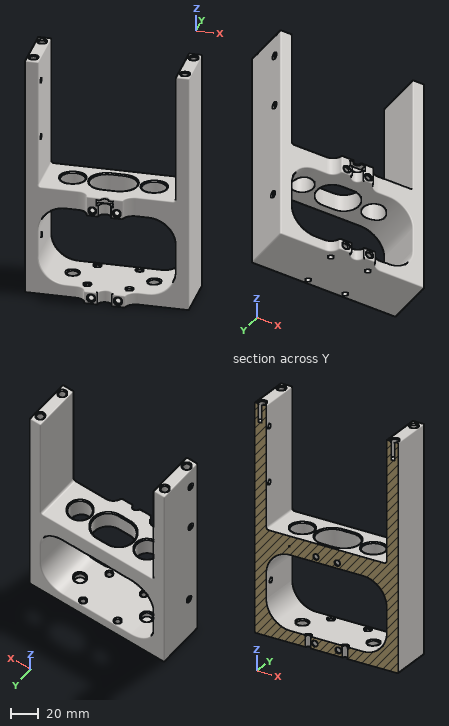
import cadquery as cq
import math

width = 121.0
height = 185.7
body_depth = 40.0
lug_reach = 7.0
leg_thickness = 10.0
edge_radius = 1.0

front_y = -body_depth / 2
tip_y = front_y - lug_reach
inner_width = width - 2 * leg_thickness

floor_top = 10.0
opening_radius = 20.0
shelf_bottom = 70.5
shelf_top = 86.0
gap_radius = 2.0

flare_radius = 8.0
upper_lug_root = 21.3
lower_lug_root = 23.1
lower_notch_diameter = 10.4
upper_notch_diameter = 9.4
neck_diameter = 6.0
pocket_width = 12.3
pocket_depth = 5.5
pocket_bottom = 79.5
pocket_top = 84.2
pocket_corner_radius = 0.5
pocket_middle = (pocket_bottom + pocket_top) / 2

shelf_hole_diameter = 18.0
shelf_hole_offset = 30.0
slot_length = 35.0
slot_width = 25.4

floor_hole_diameter = 8.6
floor_hole_depth = 5.0
motor_hole_diameter = 4.3
motor_hole_pitch = 31.0

hole_chamfer = 0.9
leg_screw_diameter = 5.7
leg_screw_depth = 15.0
leg_screw_pitch = 26.0
leg_screw_offset = 4.7
upper_screw_diameter = 4.3
upper_screw_offset = 9.0
upper_screw_z = 75.0
lower_screw_diameter = 4.6
lower_screw_offset = 9.9
lower_screw_z = floor_top / 2
lug_screw_depth = 12.0
side_screw_diameter = 3.8
side_screws = [(8.3, 167.2), (8.3, 122.2), (10.3, 42.6)]

cut_margin = 1.0
selection_slack = 0.1

down = (0, 0, -1)
inward = (0, 1, 0)
rightward = (1, 0, 0)


def make_frame():
    """H-shaped frame: block with a rounded lower opening and an open upper gap."""
    block = cq.Workplane("XY").box(width, body_depth, height, centered=(True, True, False))
    opening = (
        cq.Workplane("XY")
        .workplane(offset=floor_top)
        .box(inner_width, body_depth, shelf_bottom - floor_top, centered=(True, True, False))
        .edges("|Y")
        .fillet(opening_radius)
    )
    gap = (
        cq.Workplane("XY")
        .workplane(offset=shelf_top)
        .box(inner_width, body_depth, height - shelf_top, centered=(True, True, False))
        .edges("|Y and <Z")
        .fillet(gap_radius)
    )
    return block.cut(opening).cut(gap)


def flare_inset(reach):
    """Distance from the flare's root to its arc, measured along X at a given reach."""
    return math.sqrt(flare_radius ** 2 - (flare_radius - reach) ** 2)


def make_lug(root_half, bottom, top):
    """Front lug whose sides flare into the frame through concave arcs."""
    tip_half = root_half - flare_inset(lug_reach)
    middle_reach = lug_reach / 2
    middle_half = root_half - flare_inset(middle_reach)
    profile = (
        cq.Workplane("XY")
        .workplane(offset=bottom)
        .moveTo(-root_half, front_y + cut_margin)
        .lineTo(-root_half, front_y)
        .threePointArc((-middle_half, front_y - middle_reach), (-tip_half, tip_y))
        .lineTo(tip_half, tip_y)
        .threePointArc((middle_half, front_y - middle_reach), (root_half, front_y))
        .lineTo(root_half, front_y + cut_margin)
        .close()
    )
    return profile.extrude(top - bottom)


def drill(entry, direction, diameter, depth):
    """Drill tool running from entry along direction, with a countersunk mouth and clearance before it."""
    radius = diameter / 2
    mouth_radius = radius + hole_chamfer
    across = cq.Vector(direction[1], direction[2], direction[0])
    axis = cq.Vector(*direction)
    half_section = cq.Workplane(cq.Plane(entry, across, across.cross(axis))).polyline(
        [
            (0, -cut_margin),
            (mouth_radius, -cut_margin),
            (mouth_radius, 0),
            (radius, hole_chamfer),
            (radius, depth),
            (0, depth),
        ]
    )
    return half_section.close().revolve(360, (0, 0), (0, 1))


def round_outline(body):
    """Round the edges of the front, back and end faces, leaving lug roots and groove sides sharp."""
    far = 2 * height
    front_edges = cq.selectors.BoxSelector((-far, -far, -far), (far, front_y + selection_slack, far))
    root_zone = cq.selectors.BoxSelector(
        (-lower_lug_root - selection_slack, front_y - selection_slack, -far),
        (lower_lug_root + selection_slack, front_y + selection_slack, far),
    )
    groove_zone = cq.selectors.BoxSelector(
        (-lower_notch_diameter, -far, -far), (lower_notch_diameter, far, pocket_middle + selection_slack)
    )
    notch_step = cq.selectors.BoxSelector(
        (-far, -far, pocket_middle - selection_slack), (far, far, pocket_middle + selection_slack)
    )
    vertical = cq.selectors.ParallelDirSelector(cq.Vector(0, 0, 1))
    end_edges = cq.StringSyntaxSelector(">Z") + cq.StringSyntaxSelector("<Z")
    back_edges = cq.StringSyntaxSelector(">Y")
    sharp_edges = (vertical & root_zone) + (vertical & groove_zone) + notch_step
    rounded = front_edges + back_edges + end_edges - sharp_edges
    return body.edges(rounded).fillet(edge_radius)


def make_notch(diameter, bottom, top):
    """Vertical half-round notch centred on the lug tip."""
    return (
        cq.Workplane("XY")
        .workplane(offset=bottom)
        .center(0, tip_y)
        .circle(diameter / 2)
        .extrude(top - bottom)
    )


def make_nut_pocket():
    """Rectangular pocket in the upper lug tip with rounded rear corners."""
    return (
        cq.Workplane("XY")
        .workplane(offset=pocket_bottom)
        .center(0, tip_y)
        .rect(pocket_width, 2 * pocket_depth)
        .extrude(pocket_top - pocket_bottom)
        .edges("|Z")
        .fillet(pocket_corner_radius)
    )


def cut_lugs(body):
    """Nut pocket and screw holes of the two lugs."""
    body = body.cut(make_nut_pocket())
    for side in (-1, 1):
        upper_entry = (side * upper_screw_offset, tip_y, upper_screw_z)
        lower_entry = (side * lower_screw_offset, tip_y, lower_screw_z)
        body = body.cut(drill(upper_entry, inward, upper_screw_diameter, lug_screw_depth))
        body = body.cut(drill(lower_entry, inward, lower_screw_diameter, lug_screw_depth))
    return body


def cut_shelf(body):
    """Central slot and the two round holes through the shelf."""
    thickness = shelf_top - shelf_bottom
    top_plane = cq.Workplane("XY").workplane(offset=shelf_top)
    slot = top_plane.slot2D(slot_length, slot_width).extrude(-thickness)
    mouth = (
        top_plane.slot2D(slot_length + 2 * hole_chamfer, slot_width + 2 * hole_chamfer)
        .workplane(offset=-hole_chamfer)
        .slot2D(slot_length, slot_width)
        .loft()
    )
    body = body.cut(slot).cut(mouth)
    hole_depth = thickness + opening_radius / 2
    for side in (-1, 1):
        entry = (side * shelf_hole_offset, 0, shelf_top)
        body = body.cut(drill(entry, down, shelf_hole_diameter, hole_depth))
    return body


def cut_floor(body):
    """Two large blind holes and the square pattern of motor screws through the floor."""
    for side in (-1, 1):
        entry = (side * shelf_hole_offset, 0, floor_top)
        body = body.cut(drill(entry, down, floor_hole_diameter, floor_hole_depth))
        for end in (-1, 1):
            entry = (side * motor_hole_pitch / 2, end * motor_hole_pitch / 2, floor_top)
            body = body.cut(drill(entry, down, motor_hole_diameter, floor_top))
    return body


def cut_legs(body):
    """Blind holes in the leg ends and screw holes through the leg on the -X side."""
    for side in (-1, 1):
        for end in (-1, 1):
            entry = (side * (width / 2 - leg_screw_offset), end * leg_screw_pitch / 2, height)
            body = body.cut(drill(entry, down, leg_screw_diameter, leg_screw_depth))
    for setback, level in side_screws:
        entry = (-width / 2, front_y + setback, level)
        body = body.cut(drill(entry, rightward, side_screw_diameter, leg_thickness))
    return body


frame = make_frame()
frame = frame.union(make_lug(upper_lug_root, shelf_bottom, shelf_top))
frame = frame.union(make_lug(lower_lug_root, 0, floor_top)).clean()
frame = frame.cut(make_notch(lower_notch_diameter, 0, floor_top))
frame = frame.cut(make_notch(upper_notch_diameter, shelf_bottom, pocket_middle))
frame = frame.cut(make_notch(neck_diameter, pocket_middle, shelf_top))
frame = round_outline(frame)
frame = cut_lugs(frame)
frame = cut_shelf(frame)
frame = cut_floor(frame)
result = cut_legs(frame).solids()